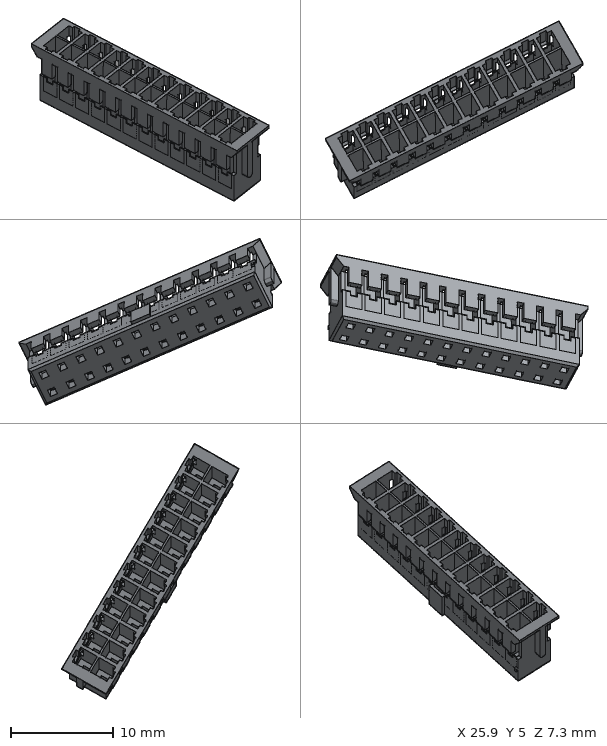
import cadquery as cq

length = 25.9
width = 5.0
height = 7.3

columns = 12
first_to_last = 22.0
pitch = first_to_last / (columns - 1)
first_column = -first_to_last / 2

body_length = 24.42
body_width = 4.12
body_top = height - 3.83
bottom_chamfer = 0.23

neck_width = 3.32

flange_rim = 0.34
flange_bottom = height - 1.27

tab_width = 1.32
tab_thickness = 0.55
tab_bottom = height - 3.13

cavity_length = 1.65
cavity_outer = width / 2 - tab_thickness
divider_half = 0.1
divider_draft = 0.08
cavity_floor = 1.55
pin_hole = 0.73

key_width = 0.73
groove_depth = 0.25
groove_bottom = tab_bottom

window_bottom = height - 4.3

fin_width = 0.73
fin_center = -0.47
fin_bottom = height - 4.64
fin_tip_radius = 0.34

rib_length = 2.0
rib_depth = 0.3
rib_top = window_bottom
mark_length = 0.3
mark_depth = 0.23
mark_bottom = 1.75
mark_height = 0.4


def block(x_range, y_range, z_range):
    """Axis-aligned box between the given limits."""
    size = [high - low for low, high in (x_range, y_range, z_range)]
    corner = (x_range[0], y_range[0], z_range[0])
    return cq.Workplane("XY").box(*size, centered=False).translate(corner)


def centered_block(x, y, size_x, size_y, bottom, top):
    """Upright box centred on (x, y)."""
    return block(
        (x - size_x / 2, x + size_x / 2),
        (y - size_y / 2, y + size_y / 2),
        (bottom, top),
    )


def prism_along_x(points, span):
    """Prism with a Y-Z outline, centred on X = 0."""
    return cq.Workplane("YZ").polyline(points).close().extrude(span / 2, both=True)


def make_body():
    body = centered_block(0, 0, body_length, body_width, 0, body_top)
    body = body.faces("<Z").edges().chamfer(bottom_chamfer)
    neck = centered_block(0, 0, body_length, neck_width, body_top, flange_bottom)
    return body.union(neck)


def make_flange():
    outline = [
        (-length / 2, height),
        (length / 2, height),
        (length / 2, height - flange_rim),
        (body_length / 2, flange_bottom),
        (-body_length / 2, flange_bottom),
        (-length / 2, height - flange_rim),
    ]
    return cq.Workplane("XZ").polyline(outline).close().extrude(width / 2, both=True)


def make_tab(side):
    y = side * (width - tab_thickness) / 2
    return centered_block(0, y, tab_width, tab_thickness, tab_bottom, flange_bottom)


def make_fins():
    fins = centered_block(0, fin_center, length, fin_width, fin_bottom, height - flange_rim)
    return fins.faces("<Z").edges("|X").fillet(fin_tip_radius)


def make_rib():
    y_range = (body_width / 2, body_width / 2 + rib_depth)
    return block((-rib_length / 2, rib_length / 2), y_range, (bottom_chamfer, rib_top))


def make_mark():
    x_range = (-body_length / 2, -body_length / 2 + mark_length)
    y_range = (body_width / 2, body_width / 2 + mark_depth)
    return block(x_range, y_range, (mark_bottom, mark_bottom + mark_height))


def make_cavity(side):
    """Contact cavity; only the -Y row has a drafted divider wall."""
    draft = divider_draft if side < 0 else 0
    outline = [
        (side * divider_half, height),
        (side * cavity_outer, height),
        (side * cavity_outer, cavity_floor),
        (side * (divider_half + draft), cavity_floor),
    ]
    return prism_along_x(outline, cavity_length)


def make_groove(side):
    outline = [
        (side * cavity_outer, height),
        (side * (cavity_outer + groove_depth), height),
        (side * (cavity_outer + groove_depth), groove_bottom + groove_depth),
        (side * cavity_outer, groove_bottom),
    ]
    return prism_along_x(outline, key_width)


def make_window(side):
    """Notch from the middle of the cavity out through the side wall."""
    y = side * (body_width + pitch) / 4
    return centered_block(0, y, key_width, (body_width - pitch) / 2, window_bottom, body_top)


def make_contact_opening(side):
    """Everything removed for one contact: cavity, groove, window and pin hole."""
    pin = centered_block(0, side * pitch / 2, pin_hole, pin_hole, 0, cavity_floor)
    return make_cavity(side).union(make_groove(side)).union(make_window(side)).union(pin)


def row_of(feature):
    """Copies of a feature at every column of the contact grid."""
    solid = feature.val()
    copies = [solid.translate(cq.Vector(first_column + i * pitch, 0, 0)) for i in range(columns)]
    return cq.Workplane(cq.Compound.makeCompound(copies))


housing = make_body().union(make_flange()).union(make_fins())
housing = housing.union(make_rib()).union(make_mark())

for side in (-1, 1):
    housing = housing.union(row_of(make_tab(side)))
    housing = housing.cut(row_of(make_contact_opening(side)))

result = housing